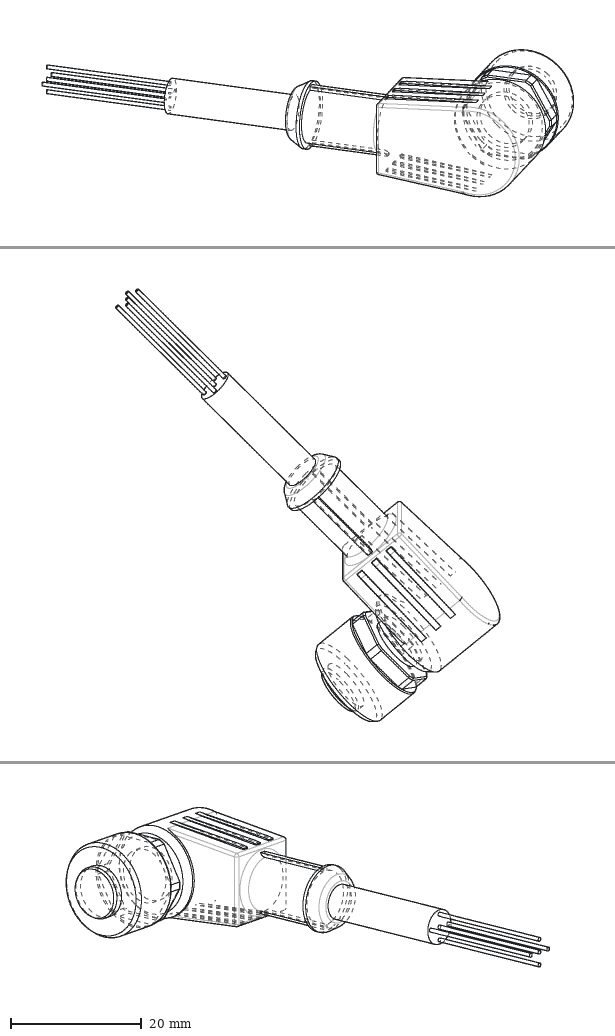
import cadquery as cq
import math


overall_length = 79.0
nut_radius = 7.5
wire_tip_x = nut_radius - overall_length
strip_length = 20.1
jacket_length = 20.0
collar_cone_length = 2.4
collar_rim_width = 0.55
jacket_end_x = wire_tip_x + strip_length
collar_start_x = jacket_end_x + jacket_length
collar_rim_x = collar_start_x + collar_cone_length
collar_end_x = collar_rim_x + collar_rim_width
block_start_x = -15.9
block_end_x = -1.65

wire_radius = 0.3
wire_pitch_radius = 2.05
jacket_radius = 2.8

collar_small_radius = 3.95
collar_rim_radius = 5.3
collar_nose_fillet = 1.1
sleeve_radius = 4.35
sleeve_flare = 0.95
sleeve_rib_width = 0.95
sleeve_rib_half_height = 4.9

housing_half_width = 6.0
block_start_half_height = 5.85
tower_radius = 7.35
block_end_half_height = math.sqrt(tower_radius**2 - block_end_x**2)
housing_edge_fillet = 0.5

grip_rib_width = 1.0
grip_rib_pitch = 3.0
grip_rib_start_x = -15.1
grip_ramp_end_x = -14.2
grip_rib_end_x = -0.4
grip_rib_start_half_height = 6.1
grip_ramp_half_height = 6.25

tower_edge_y = 6.4
tower_top_y = 7.6
hex_start_y = 9.1
nut_start_y = 11.5
nut_end_y = 19.4
tip_end_y = 21.0

tower_top_radius = 6.4
neck_radius = 4.3
hex_across_flats = 13.1
hex_corner_radius = 7.3
hex_end_chamfer = 0.2
nut_back_chamfer_length = 0.2
nut_back_chamfer_depth = 0.12
nut_front_chamfer_length = 0.7
nut_front_chamfer_depth = 0.5
tip_radius = 4.1
tip_chamfer_length = 0.5
tip_chamfer_depth = 0.2


def cylinder_x(x_start, x_end, radius, y=0, z=0):
    """Cylinder along X between two stations."""
    disc = cq.Workplane("YZ", origin=(x_start, y, z)).circle(radius)
    return disc.extrude(x_end - x_start)


def cylinder_y(y_start, y_end, radius):
    """Cylinder around the Y axis between two stations."""
    disc = cq.Workplane("XZ", origin=(0, y_start, 0)).circle(radius)
    return disc.extrude(y_start - y_end)


def make_cable():
    """Jacket with five bare wires: one central and four around it."""
    cable = cylinder_x(jacket_end_x, collar_end_x, jacket_radius)
    p = wire_pitch_radius
    for y, z in [(0, 0), (p, 0), (-p, 0), (0, p), (0, -p)]:
        cable = cable.union(cylinder_x(wire_tip_x, collar_start_x, wire_radius, y, z))
    return cable


def make_sleeve():
    """Coned collar and flared tube with a rib along the top and the bottom."""
    collar = (
        cq.Workplane("XY")
        .moveTo(collar_start_x, 0)
        .lineTo(collar_start_x, collar_small_radius)
        .lineTo(collar_rim_x, collar_rim_radius)
        .lineTo(collar_end_x, collar_rim_radius)
        .lineTo(collar_end_x, 0)
        .close()
        .revolve(360, (0, 0, 0), (1, 0, 0))
        .faces("<X")
        .edges()
        .fillet(collar_nose_fillet)
    )
    flare_start_x = block_start_x - sleeve_flare
    flare_dip = sleeve_flare * math.sqrt(0.5)
    flare_centre_radius = sleeve_radius + sleeve_flare
    tube = (
        cq.Workplane("XY")
        .moveTo(collar_rim_x, 0)
        .lineTo(collar_rim_x, sleeve_radius)
        .lineTo(flare_start_x, sleeve_radius)
        .threePointArc(
            (flare_start_x + flare_dip, flare_centre_radius - flare_dip),
            (block_start_x, flare_centre_radius),
        )
        .lineTo(block_start_x, 0)
        .close()
        .revolve(360, (0, 0, 0), (1, 0, 0))
    )
    rib_length = block_start_x - collar_rim_x
    rib_centre = (collar_rim_x + rib_length / 2, 0, 0)
    ribs = cq.Workplane("XY", origin=rib_centre).box(
        rib_length, sleeve_rib_width, 2 * sleeve_rib_half_height
    )
    return collar.union(tube).union(ribs)


def make_block():
    """Tapering block that widens in Z toward the round tower."""
    outline = [
        (block_start_x, block_start_half_height),
        (block_end_x, block_end_half_height),
        (block_end_x, -block_end_half_height),
        (block_start_x, -block_start_half_height),
    ]
    return (
        cq.Workplane("XZ")
        .polyline(outline)
        .close()
        .extrude(housing_half_width, both=True)
        .edges("not >X")
        .fillet(housing_edge_fillet)
    )


def make_tower():
    """Round end of the housing, chamfered toward the coupling."""
    base = cylinder_y(-housing_half_width, tower_edge_y, tower_radius)
    base = base.faces("<Y").edges().fillet(housing_edge_fillet)
    cone = (
        cq.Workplane("XY")
        .moveTo(0, tower_edge_y)
        .lineTo(tower_radius, tower_edge_y)
        .lineTo(tower_top_radius, tower_top_y)
        .lineTo(0, tower_top_y)
        .close()
        .revolve(360, (0, 0, 0), (0, 1, 0))
    )
    return base.union(cone)


def make_grip_ribs():
    """Three low ribs, each with a small step and ramp at the cable end, on both sloping faces."""
    outline = [
        (grip_rib_start_x, grip_rib_start_half_height),
        (grip_ramp_end_x, grip_ramp_half_height),
        (grip_rib_end_x, tower_radius),
        (grip_rib_end_x, -tower_radius),
        (grip_ramp_end_x, -grip_ramp_half_height),
        (grip_rib_start_x, -grip_rib_start_half_height),
    ]
    rib = cq.Workplane("XZ").polyline(outline).close().extrude(grip_rib_width / 2, both=True)
    ribs = rib
    for side in (-1, 1):
        ribs = ribs.union(rib.translate((0, side * grip_rib_pitch, 0)))
    return ribs


def make_coupling():
    """Neck, hexagon, round nut and plug tip along the coupling axis."""
    neck = cylinder_y(tower_top_y, nut_start_y, neck_radius)

    hexagon = (
        cq.Workplane("XZ", origin=(0, hex_start_y, 0))
        .polygon(6, hex_across_flats / math.cos(math.pi / 6))
        .extrude(hex_start_y - nut_start_y)
    )
    turned = cylinder_y(hex_start_y, nut_start_y, hex_corner_radius)
    hexagon = hexagon.intersect(turned).faces("<Y").edges().chamfer(hex_end_chamfer)

    nut = (
        cylinder_y(nut_start_y, nut_end_y, nut_radius)
        .faces("<Y")
        .edges()
        .chamfer(nut_back_chamfer_length, nut_back_chamfer_depth)
        .faces(">Y")
        .edges()
        .chamfer(nut_front_chamfer_length, nut_front_chamfer_depth)
    )
    tip = (
        cylinder_y(nut_end_y, tip_end_y, tip_radius)
        .faces(">Y")
        .edges()
        .chamfer(tip_chamfer_length, tip_chamfer_depth)
    )
    return neck.union(hexagon).union(nut).union(tip)


housing = make_block().union(make_tower()).union(make_grip_ribs())
result = housing.union(make_sleeve()).union(make_cable()).union(make_coupling())